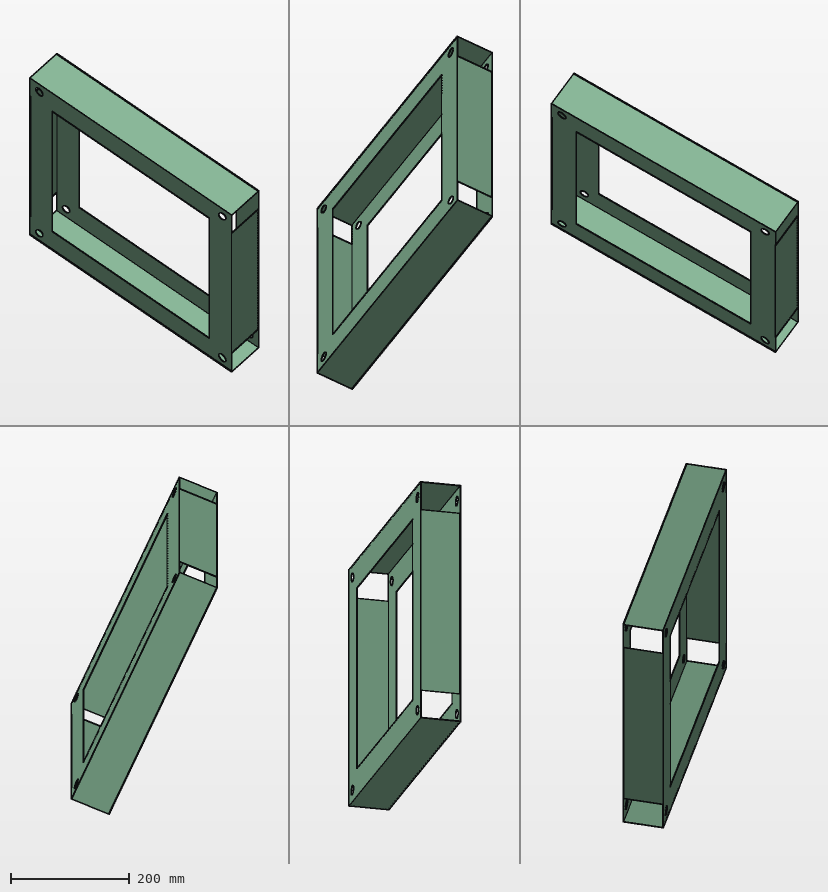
import cadquery as cq

width = 450.0
depth = 70.0
height = 423.0
sheet = 1.5

border = 50.0
slot_length = 17.0
slot_width = 14.0
slot_angle = 45
slot_inset = 21.0

opening_width = width - 2 * border
opening_height = height - 2 * border


def sheet_shell():
    """Closed thin-walled box, centred on the origin."""
    outside = cq.Workplane("XY").box(width, depth, height)
    inside = cq.Workplane("XY").box(width - 2 * sheet, depth - 2 * sheet, height - 2 * sheet)
    return outside.cut(inside)


def central_opening():
    """Rectangular opening through the front and back faces."""
    return cq.Workplane("XY").box(opening_width, 2 * depth, opening_height)


def corner_slots():
    """Short slots through both faces, each pointing diagonally towards its corner."""
    slots = cq.Workplane("XZ")
    for side in (-1, 1):
        for level in (-1, 1):
            slot = (
                cq.Workplane("XZ")
                .center(side * (width / 2 - slot_inset), level * (height / 2 - slot_inset))
                .slot2D(slot_length, slot_width, side * level * slot_angle)
                .extrude(depth, both=True)
            )
            slots = slots.add(slot)
    return slots.combine()


def side_windows():
    """Cutters that leave each side wall only as tall as the central opening."""
    window_height = border - sheet
    window_z = (opening_height + window_height) / 2
    return (
        cq.Workplane("YZ")
        .pushPoints([(0, -window_z), (0, window_z)])
        .rect(depth - 2 * sheet, window_height)
        .extrude(width, both=True)
    )


result = (
    sheet_shell()
    .cut(central_opening())
    .cut(corner_slots())
    .cut(side_windows())
)